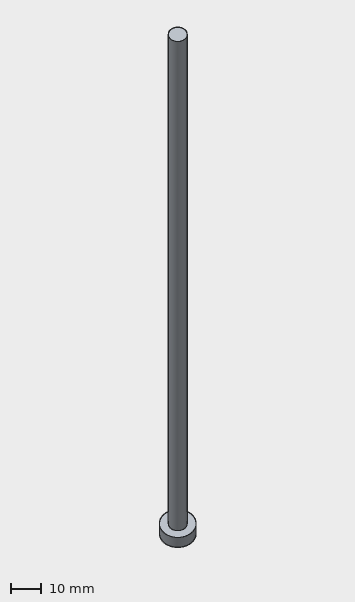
import cadquery as cq

total_length = 250.0
head_diameter = 12.0
head_height = 5.0
shank_diameter = 6.2


def cylinder(diameter, height):
    """Upright cylinder with its base centred on the origin."""
    return cq.Workplane("XY").circle(diameter / 2).extrude(height)


head = cylinder(head_diameter, head_height)
shank = cylinder(shank_diameter, total_length)

result = head.union(shank)